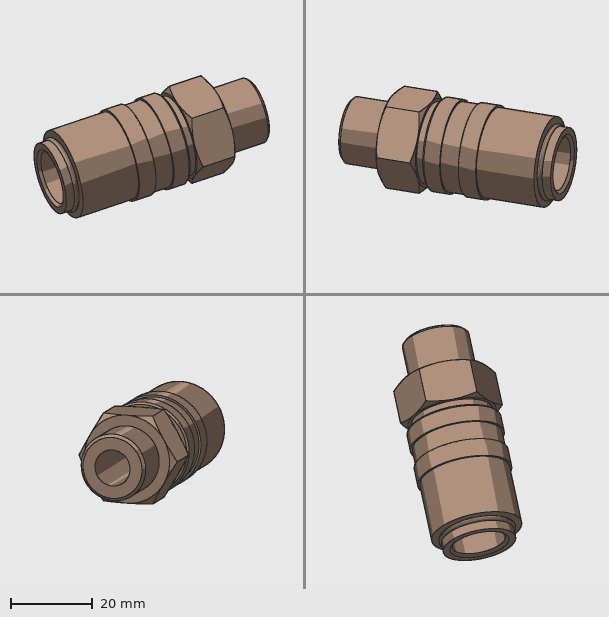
import cadquery as cq
import math

length = 56.0

nose_diameter = 18.15
bead_diameter = 19.15
sleeve_diameter = 22.5
collar_diameter = 23.5
neck_diameter = 20.5
plug_diameter = 16.7

sleeve_start = 3.5
front_collar_start = 18.6
front_collar_end = 23.1
rear_collar_start = 28.0
rear_collar_end = 32.65
hex_start = 34.6
hex_end = 44.95

bead_radius = 0.7

rear_collar_chamfer = 0.5
plug_chamfer = 0.7

hex_across_flats = 22.0
hex_corner_drop = 0.9
hex_corner_diameter = hex_across_flats / math.cos(math.pi / 6)

bore_diameter = 9.0
socket_diameter = 13.3
socket_depth = 28.0
mouth_diameter = 14.8
mouth_chamfer = (mouth_diameter - socket_diameter) / 2


def cylinder(diameter, start, end):
    """Cylinder along Y from station start to station end."""
    plane = cq.Workplane("XZ", origin=(0, start, 0))
    return plane.circle(diameter / 2).extrude(start - end)


def make_hexagon():
    """Hexagon with corners on the X axis and both ends coned to the flats."""
    blank = cq.Workplane("XZ", origin=(0, hex_start, 0)).polygon(6, hex_corner_diameter)
    blank = blank.extrude(hex_start - hex_end)
    corner_rise = (hex_corner_diameter - hex_across_flats) / 2
    envelope = cylinder(hex_corner_diameter, hex_start, hex_end)
    envelope = envelope.faces("<Y or >Y").edges()
    envelope = envelope.chamfer(hex_corner_drop, corner_rise)
    return blank.intersect(envelope)


def make_bead():
    """Retaining bead: a ring of round section behind the nose."""
    ring_radius = bead_diameter / 2 - bead_radius
    section = cq.Workplane("XY").moveTo(ring_radius, sleeve_start - bead_radius).circle(bead_radius)
    return section.revolve(360, (0, 0), (0, 1))


def make_rear_collar():
    """Grip collar with its rear edge chamfered."""
    collar = cylinder(collar_diameter, rear_collar_start, rear_collar_end)
    return collar.faces(">Y").edges().chamfer(rear_collar_chamfer)


def make_plug():
    """Plain spigot behind the hexagon with a chamfered tip."""
    plug = cylinder(plug_diameter, hex_end, length)
    return plug.faces(">Y").edges().chamfer(plug_chamfer)


def make_passage():
    """Through bore opening into a wider socket with a chamfered mouth."""
    socket = cylinder(socket_diameter, 0, socket_depth)
    mouth = cq.Workplane("XZ").circle(mouth_diameter / 2)
    mouth = mouth.workplane(offset=-mouth_chamfer).circle(socket_diameter / 2).loft()
    return cylinder(bore_diameter, 0, length).union(socket).union(mouth)


body = cylinder(nose_diameter, 0, sleeve_start)
body = body.union(make_bead())
body = body.union(cylinder(sleeve_diameter, sleeve_start, rear_collar_end - rear_collar_chamfer))
body = body.union(cylinder(collar_diameter, front_collar_start, front_collar_end))
body = body.union(make_rear_collar())
body = body.union(cylinder(neck_diameter, rear_collar_end - rear_collar_chamfer, hex_start))
body = body.union(make_hexagon())
body = body.union(make_plug())

result = body.cut(make_passage())